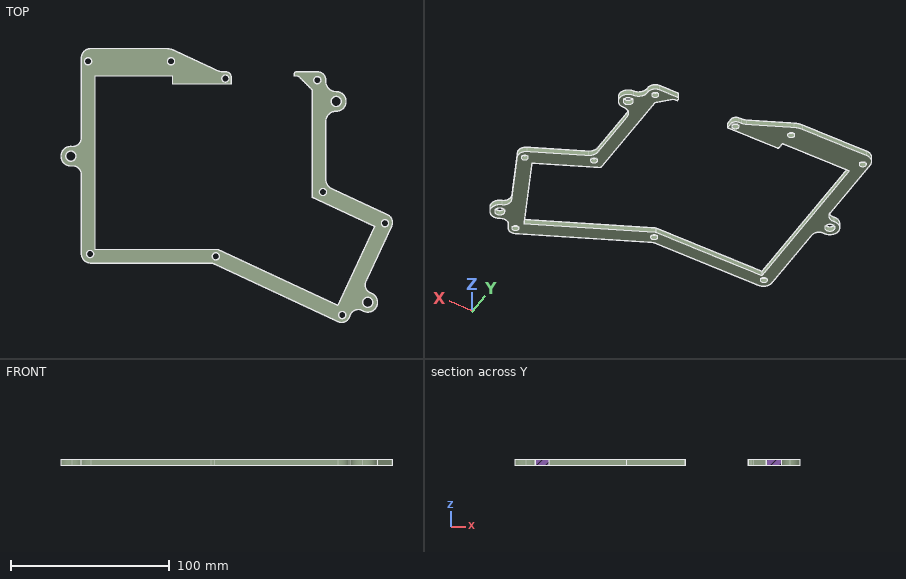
import cadquery as cq
import math

thickness = 4.0
band = 8.8
frame_height = 135.5
tilt = 25

plate_bottom = 118.0
step_x = 57.5
step_y = 113.0
plate_end_x = 94.8
shoulder_x = 56.0
end_top_y = 121.0

post_inner_x = 145.6
post_outer_x = post_inner_x + band
post_foot_y = 41.6
tip_x = 134.3
tip_y = 118.0
tip_slope_end_y = 109.5

upper_length = 43.5
upper_width = 10.3
side_length = 54.8
side_width = 9.8
lower_width = 9.5

ear_radius = 6.3
ear_height = 6.5
ear_hole_diameter = 6.3
left_ear_y = 67.5
post_ear_y = 102.1
side_ear_from_corner = 19.0
small_blend = 5.2
post_ear_blend = 6.3

bolt_hole_diameter = 4.4
bolt_holes = [
    (4.4, 127.5),
    (56.7, 127.5),
    (91.0, 116.5),
    (149.0, 115.5),
    (152.5, 45.0),
    (191.7, 25.3),
    (164.7, -32.6),
    (85.0, 4.4),
    (5.6, 5.9),
]

frame_radius = 6.3
shoulder_radius = 12.5
shoulder_foot_radius = 8.4
plate_end_radius = 3.8
post_top_radius = 5.5
tip_radius = 1.7
tip_slope_radius = 2.0
post_foot_radius = 6.3
side_top_radius = 5.6
side_bottom_radius = 5.2
bend_radius = 5.2

sin_tilt = math.sin(math.radians(tilt))
cos_tilt = math.cos(math.radians(tilt))
tan_tilt = sin_tilt / cos_tilt


def shifted(point, along, across):
    """Move a point down the tilted direction, then square to it (up and right)."""
    x = point[0] + along * cos_tilt + across * sin_tilt
    y = point[1] - along * sin_tilt + across * cos_tilt
    return (x, y)


post_foot = (post_inner_x, post_foot_y)
side_top_inner = shifted(post_foot, upper_length, 0)
side_bottom_inner = shifted(side_top_inner, 0, -side_length)
side_top_outer = shifted(side_top_inner, side_width, upper_width)
side_bottom_outer = shifted(side_bottom_inner, side_width, -lower_width)
post_foot_outer = (post_outer_x, side_top_outer[1] + (side_top_outer[0] - post_outer_x) * tan_tilt)
bend_inner = (side_bottom_inner[0] - (band - side_bottom_inner[1]) / tan_tilt, band)
bend_outer = (side_bottom_outer[0] + side_bottom_outer[1] / tan_tilt, 0)

shoulder = (shoulder_x, frame_height)
shoulder_foot = (shoulder_x + (frame_height - end_top_y) / tan_tilt, end_top_y)
plate_end = (plate_end_x, end_top_y)
post_top = (post_outer_x, end_top_y)
tip_top = (tip_x, end_top_y)
tip_slope_start = (post_inner_x - (tip_y - tip_slope_end_y), tip_y)

outline = [
    (0, 0),
    (0, frame_height),
    shoulder,
    shoulder_foot,
    plate_end,
    (plate_end_x, step_y),
    (step_x, step_y),
    (step_x, plate_bottom),
    (band, plate_bottom),
    (band, band),
    bend_inner,
    side_bottom_inner,
    side_top_inner,
    post_foot,
    (post_inner_x, tip_slope_end_y),
    tip_slope_start,
    (tip_x, tip_y),
    tip_top,
    post_top,
    post_foot_outer,
    side_top_outer,
    side_bottom_outer,
    bend_outer,
]

corner_radii = [
    ((0, 0), frame_radius),
    ((0, frame_height), frame_radius),
    (shoulder, shoulder_radius),
    (shoulder_foot, shoulder_foot_radius),
    (plate_end, plate_end_radius),
    (tip_slope_start, tip_slope_radius),
    (tip_top, tip_radius),
    (post_top, post_top_radius),
    (post_foot_outer, post_foot_radius),
    (side_top_outer, side_top_radius),
    (side_bottom_outer, side_bottom_radius),
    (bend_outer, bend_radius),
]


def rounded_body():
    body = cq.Workplane("XY").polyline(outline).close().extrude(thickness)
    for (x, y), radius in corner_radii:
        corner = cq.selectors.NearestToPointSelector((x, y, thickness / 2))
        body = body.edges("|Z").edges(corner).fillet(radius)
    return body


def ear(foot, outward_angle, blend):
    """Round ear with concave blends, standing on an edge at foot and facing outward_angle."""
    reach = ear_radius + blend
    half_width = math.sqrt(reach**2 - (ear_height - blend) ** 2)
    tangent_x = half_width * ear_radius / reach
    tangent_y = ear_height + (blend - ear_height) * ear_radius / reach
    chord_x = (tangent_x - half_width) / 2
    chord_y = tangent_y / 2 - blend
    chord_distance = math.hypot(chord_x, chord_y)
    middle_x = half_width + chord_x * blend / chord_distance
    middle_y = blend + chord_y * blend / chord_distance
    shape = (
        cq.Workplane("XY")
        .moveTo(-half_width, 0)
        .threePointArc((-middle_x, middle_y), (-tangent_x, tangent_y))
        .threePointArc((0, ear_height + ear_radius), (tangent_x, tangent_y))
        .threePointArc((middle_x, middle_y), (half_width, 0))
        .lineTo(half_width, -band / 2)
        .lineTo(-half_width, -band / 2)
        .close()
        .extrude(thickness)
    )
    hole = cq.Workplane("XY").center(0, ear_height).circle(ear_hole_diameter / 2).extrude(thickness)
    turn = outward_angle - 90
    return shape.cut(hole).rotate((0, 0, 0), (0, 0, 1), turn).translate((foot[0], foot[1], 0))


result = (
    rounded_body()
    .union(ear((0, left_ear_y), 180, small_blend))
    .union(ear((post_outer_x, post_ear_y), 0, post_ear_blend))
    .union(ear(shifted(side_bottom_outer, 0, side_ear_from_corner), -tilt, small_blend))
)
bolt_cutter = cq.Workplane("XY").pushPoints(bolt_holes).circle(bolt_hole_diameter / 2).extrude(thickness)
result = result.cut(bolt_cutter)